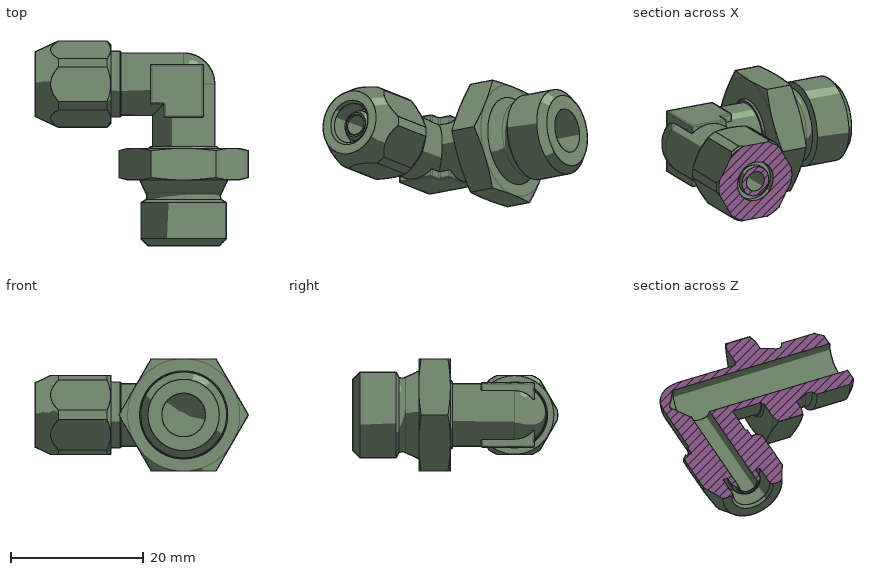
import cadquery as cq
import math


BODY_R = 4.75
COLLAR_R = 5.0
COLLAR_BREAK = 0.1
PAD_NEAR = 3.0
PAD_FAR = 5.04
PAD_HALF_HEIGHT = 4.9
PAD_FILLET = 0.22

NUT_FRONT = -22.5
NUT_LENGTH = 11.5
NUT_FLATS = 12.0
NUT_CORNER_R = 6.55
NUT_FACE_R = 4.9
NUT_TAPER_ANGLE = 25.0
NUT_REAR_CHAMFER = 0.6
COLLAR_LENGTH = 1.5

SOCKET_R = 3.05
SOCKET_CHAMFER = 0.4
SOCKET_DEPTH = 4.0
NOZZLE_R = 2.35
NOZZLE_TIP_R = 1.9
NOZZLE_SETBACK = 1.5
NOZZLE_TAPER_LENGTH = 0.8
TUBE_BORE_R = 1.5
TUBE_BORE_CHAMFER = 0.15

FLANGE_TOP = -9.72
FLANGE_BOTTOM = -14.5
FLANGE_FLATS = 17.0
FLANGE_CHAMFER_ANGLE = 15.0
SHOULDER_R = 5.3
SHOULDER_HEIGHT = 0.3

END_Y = -24.5
THREAD_R = 6.5
THREAD_CHAMFER = 1.1
CONE_R = 6.68
UNDERCUT_EDGE_R = 5.75
UNDERCUT_R = 5.6
UNDERCUT_TOP = -16.5
UNDERCUT_BOTTOM = -17.5
RUNOUT_ANGLE = 30.0

DRILL_R = 3.3
DRILL_POINT_ANGLE = 118.0
DRILL_SHOULDER_Y = 1.6


def tan_deg(angle):
    return math.tan(math.radians(angle))


def hex_prism(plane, across_flats, start, end):
    """Hexagonal prism with corners on the local X axis of the plane."""
    across_corners = across_flats / math.cos(math.pi / 6)
    return plane.workplane(offset=start).polygon(6, across_corners).extrude(end - start)


def revolve_about_x(points):
    """Revolve an outline of (x, radius) points about the X axis."""
    return cq.Workplane("XY").polyline(points).close().revolve(360, (0, 0), (1, 0))


def revolve_about_y(outline):
    """Revolve an outline of (radius, y) points about the Y axis."""
    return outline.close().revolve(360, (0, 0), (0, 1))


def make_body():
    tube_run = cq.Workplane("YZ").circle(BODY_R).extrude(NUT_FRONT + NUT_LENGTH)
    thread_run = cq.Workplane("XZ").circle(BODY_R).extrude(-FLANGE_TOP)
    outer_corner = cq.Workplane("XY").sphere(BODY_R)
    return tube_run.union(thread_run).union(outer_corner)


def make_wrench_pad():
    outline = [
        (-PAD_FAR, PAD_NEAR),
        (PAD_NEAR, PAD_NEAR),
        (PAD_NEAR, -PAD_FAR),
        (-PAD_NEAR, -PAD_FAR),
        (-PAD_NEAR, -PAD_NEAR),
        (-PAD_FAR, -PAD_NEAR),
    ]
    pad = cq.Workplane("XY").polyline(outline).close().extrude(PAD_HALF_HEIGHT, both=True)
    return pad.edges().fillet(PAD_FILLET)


def make_nut():
    rear = NUT_FRONT + NUT_LENGTH
    taper_length = (NUT_CORNER_R - NUT_FACE_R) / tan_deg(NUT_TAPER_ANGLE)
    envelope = revolve_about_x([
        (NUT_FRONT, 0),
        (NUT_FRONT, NUT_FACE_R),
        (NUT_FRONT + taper_length, NUT_CORNER_R),
        (rear - NUT_REAR_CHAMFER, NUT_CORNER_R),
        (rear, NUT_CORNER_R - NUT_REAR_CHAMFER),
        (rear, 0),
    ])
    nut = hex_prism(cq.Workplane("YZ"), NUT_FLATS, NUT_FRONT, rear).intersect(envelope)
    collar = cq.Workplane("YZ", origin=(rear, 0, 0)).circle(COLLAR_R).extrude(COLLAR_LENGTH)
    return nut.union(collar.faces(">X").chamfer(COLLAR_BREAK))


def make_tube_socket():
    """Annular gap around the nozzle, with the nut mouth in front of it."""
    tip = NUT_FRONT + NOZZLE_SETBACK
    bottom = NUT_FRONT + SOCKET_DEPTH
    return revolve_about_x([
        (NUT_FRONT, 0),
        (NUT_FRONT, SOCKET_R + SOCKET_CHAMFER),
        (NUT_FRONT + SOCKET_CHAMFER, SOCKET_R),
        (bottom, SOCKET_R),
        (bottom, NOZZLE_R),
        (tip + NOZZLE_TAPER_LENGTH, NOZZLE_R),
        (tip, NOZZLE_TIP_R),
        (tip, 0),
    ])


def make_flange():
    corner_r = FLANGE_FLATS / 2 / math.cos(math.pi / 6)
    face_r = FLANGE_FLATS / 2
    drop = (corner_r - face_r) * tan_deg(FLANGE_CHAMFER_ANGLE)
    envelope = revolve_about_y(cq.Workplane("XY").polyline([
        (0, FLANGE_TOP),
        (face_r, FLANGE_TOP),
        (corner_r, FLANGE_TOP - drop),
        (corner_r, FLANGE_BOTTOM + drop),
        (face_r, FLANGE_BOTTOM),
        (0, FLANGE_BOTTOM),
    ]))
    prism = hex_prism(cq.Workplane("XZ"), FLANGE_FLATS, -FLANGE_TOP, -FLANGE_BOTTOM)
    shoulder = revolve_about_y(cq.Workplane("XY").polyline([
        (0, FLANGE_TOP),
        (SHOULDER_R, FLANGE_TOP),
        (SHOULDER_R - SHOULDER_HEIGHT, FLANGE_TOP + SHOULDER_HEIGHT),
        (0, FLANGE_TOP + SHOULDER_HEIGHT),
    ]))
    return prism.intersect(envelope).union(shoulder)


def make_threaded_end():
    runout_drop = (THREAD_R - UNDERCUT_EDGE_R) * tan_deg(RUNOUT_ANGLE)
    outline = (
        cq.Workplane("XY")
        .moveTo(0, FLANGE_BOTTOM)
        .lineTo(CONE_R, FLANGE_BOTTOM)
        .lineTo(UNDERCUT_EDGE_R, UNDERCUT_TOP)
        .threePointArc(
            (UNDERCUT_R, (UNDERCUT_TOP + UNDERCUT_BOTTOM) / 2),
            (UNDERCUT_EDGE_R, UNDERCUT_BOTTOM),
        )
        .lineTo(THREAD_R, UNDERCUT_BOTTOM - runout_drop)
        .lineTo(THREAD_R, END_Y + THREAD_CHAMFER)
        .lineTo(THREAD_R - THREAD_CHAMFER, END_Y)
        .lineTo(0, END_Y)
    )
    return revolve_about_y(outline)


def make_drilled_bore():
    point_length = DRILL_R / tan_deg(DRILL_POINT_ANGLE / 2)
    return revolve_about_y(cq.Workplane("XY").polyline([
        (0, END_Y),
        (DRILL_R, END_Y),
        (DRILL_R, DRILL_SHOULDER_Y),
        (0, DRILL_SHOULDER_Y + point_length),
    ]))


def make_tube_bore():
    """Bore of the nozzle out to its chamfered tip, ending on the threaded run's axis."""
    tip = NUT_FRONT + NOZZLE_SETBACK
    return revolve_about_x([
        (0, 0),
        (0, TUBE_BORE_R),
        (tip + TUBE_BORE_CHAMFER, TUBE_BORE_R),
        (tip, TUBE_BORE_R + TUBE_BORE_CHAMFER),
        (tip, 0),
    ])


result = (
    make_body()
    .union(make_wrench_pad())
    .union(make_nut())
    .union(make_flange())
    .union(make_threaded_end())
    .cut(make_tube_socket())
    .cut(make_tube_bore())
    .cut(make_drilled_bore())
)